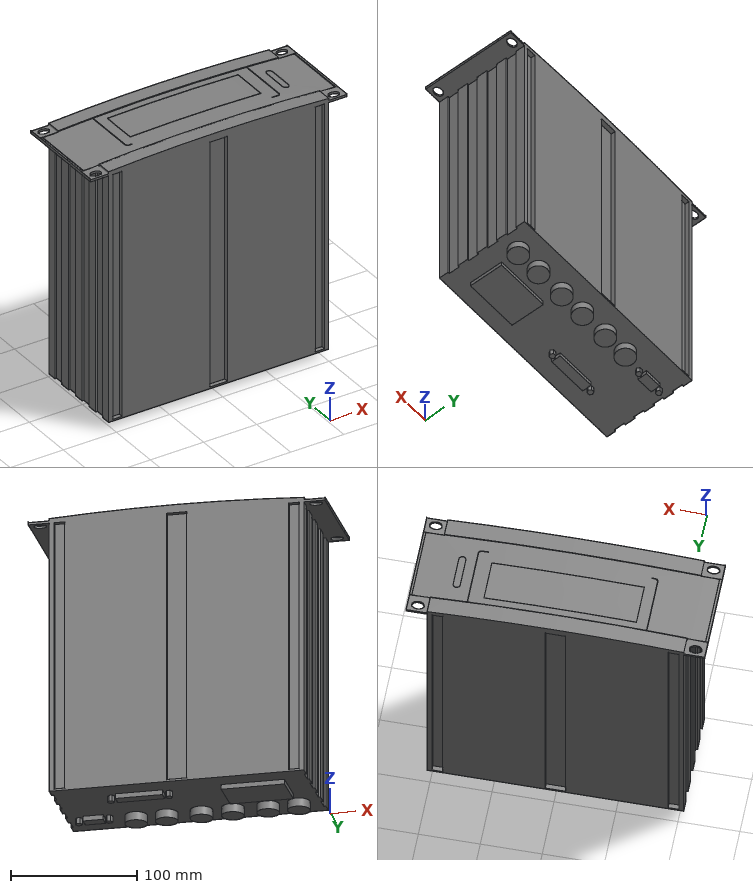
import cadquery as cq
import math

BODY_WIDTH = 207.0
BODY_DEPTH = 88.0
BODY_HEIGHT = 229.0

GROOVE_COUNT = 4
GROOVE_WIDTH = 10.0
GROOVE_PITCH = 20.0
GROOVE_RECESS = 1.6

END_PLATE = 1.7
CHANNEL_DEPTH = 4.0
CHANNELS = [(-95.25, 8.7), (0.0, 16.5), (95.25, 8.7)]

PANEL_WIDTH = 241.0
PANEL_CROWN = 7.0
PANEL_END = 2.8
CROWN_RISE = PANEL_CROWN - PANEL_END
CROWN_RADIUS = ((PANEL_WIDTH / 2) ** 2 + CROWN_RISE**2) / (2 * CROWN_RISE)
CROWN_CENTRE = PANEL_CROWN - CROWN_RADIUS

FIELD_WIDTH = 237.0
FIELD_DEPTH = 60.0
FIELD_SINK = 0.8
MARK_SINK = 0.3
WINDOW_WIDTH = 123.0
WINDOW_DEPTH = 33.5
WINDOW_Y = 6.8
SLOT_LENGTH = 29.3
SLOT_WIDTH = 5.7
SLOT_X = 85.2
SLOT_Y = 2.6
SCORE_LEFT = -70.9
SCORE_RIGHT = 73.8
SCORE_FRONT = -19.6
SCORE_TURN_END = 66.0
SCORE_RADIUS = 2.5
SCORE_WIDTH = 0.3

PAD_INNER_X = 103.6
PAD_INNER_Y = FIELD_DEPTH / 2
PAD_HEIGHT = 2.0
PAD_FILLET = 0.75
HOLE_X = 112.0
HOLE_Y = 38.1
HOLE_LENGTH = 10.0
HOLE_WIDTH = 7.0

ROUND_DIAMETER = 18.0
ROUND_HEIGHT = 7.0
ROUND_Y = 21.8
ROUND_XS = [-47.6, -22.8, 5.5, 31.0, 59.7, 84.6]
SHELL_DEPTH = 8.9
SHELL_HEIGHT = 4.0
HEX_FLATS = 4.8
HEX_HEIGHT = 5.0
D_CONNECTORS = [(-80.9, 18.2, 16.4, 24.7), (-34.4, -22.9, 38.3, 47.0)]
BLOCK_WIDTH = 51.4
BLOCK_DEPTH = 32.2
BLOCK_X = 58.4
BLOCK_Y = -12.0


def box(width, depth, height, x, y, base):
    """Box centred on (x, y) whose underside is at Z = base."""
    return cq.Workplane("XY", origin=(x, y, base)).rect(width, depth).extrude(height)


def crown_height(x):
    """Height of the crown surface at x."""
    return CROWN_CENTRE + math.sqrt(CROWN_RADIUS**2 - x**2)


def crowned_slab():
    """Panel blank on Z = 0, its top made of two arcs meeting at X = 0."""
    half = PANEL_WIDTH / 2
    quarter_height = crown_height(half / 2)
    profile = (
        cq.Workplane("XZ", origin=(0, BODY_DEPTH / 2, 0))
        .moveTo(-half, 0)
        .lineTo(-half, PANEL_END)
        .threePointArc((-half / 2, quarter_height), (0, PANEL_CROWN))
        .threePointArc((half / 2, quarter_height), (half, PANEL_END))
        .lineTo(half, 0)
        .close()
    )
    return profile.extrude(BODY_DEPTH, clean=False)


def crowned_core(sink):
    """Everything under one continuous crown surface lowered by sink."""
    cylinder = cq.Workplane("XZ", origin=(0, BODY_DEPTH, CROWN_CENTRE)).circle(CROWN_RADIUS - sink)
    return cylinder.extrude(2 * BODY_DEPTH)


def make_body():
    body = box(BODY_WIDTH, BODY_DEPTH, BODY_HEIGHT, 0, 0, -BODY_HEIGHT)
    for index in range(GROOVE_COUNT):
        y = (index - (GROOVE_COUNT - 1) / 2) * GROOVE_PITCH
        for side in (-1, 1):
            x = side * BODY_WIDTH / 2
            body = body.cut(box(2 * GROOVE_RECESS, GROOVE_WIDTH, BODY_HEIGHT, x, y, -BODY_HEIGHT))
    for x, width in CHANNELS:
        for side in (-1, 1):
            y = side * BODY_DEPTH / 2
            body = body.cut(
                box(width, 2 * CHANNEL_DEPTH, BODY_HEIGHT - END_PLATE, x, y, END_PLATE - BODY_HEIGHT)
            )
    return body


def score_line(x, end_x):
    """L-shaped strip running from the rear edge of the field and turning in at the front."""
    turn = math.copysign(1, end_x - x)
    front = SCORE_FRONT
    diagonal = SCORE_RADIUS * (1 - math.sqrt(0.5))
    path = (
        cq.Workplane("XY")
        .moveTo(x, FIELD_DEPTH / 2)
        .lineTo(x, front + SCORE_RADIUS)
        .threePointArc((x + turn * diagonal, front + diagonal), (x + turn * SCORE_RADIUS, front))
        .lineTo(end_x, front)
    )
    start = cq.Plane(origin=(x, FIELD_DEPTH / 2, PANEL_CROWN / 2), xDir=(1, 0, 0), normal=(0, -1, 0))
    return cq.Workplane(start).rect(SCORE_WIDTH, PANEL_CROWN).sweep(path)


def field_marks():
    """Display window, indicator slot and the two score lines, as full-height prisms."""
    window = box(WINDOW_WIDTH, WINDOW_DEPTH, PANEL_CROWN, 0, WINDOW_Y, 0)
    slot = (
        cq.Workplane("XY")
        .center(SLOT_X, SLOT_Y)
        .slot2D(SLOT_LENGTH, SLOT_WIDTH, 90)
        .extrude(PANEL_CROWN)
    )
    left = score_line(SCORE_LEFT, -SCORE_TURN_END)
    right = score_line(SCORE_RIGHT, SCORE_TURN_END)
    return [window, slot, left, right]


def pad_cutter(side_x, side_y):
    """Space above one corner pad, its floor rounded up to the two X walls and the inner Y wall."""
    length_x = PANEL_WIDTH / 2 - PAD_INNER_X
    length_y = BODY_DEPTH / 2 - PAD_INNER_Y
    x = side_x * (PAD_INNER_X + length_x / 2)
    y = side_y * (PAD_INNER_Y + length_y / 2)
    space = box(length_x, length_y, PANEL_CROWN, x, y, PAD_HEIGHT)
    open_side = ">Y" if side_y > 0 else "<Y"
    return space.faces("<Z").edges(f"not {open_side}").fillet(PAD_FILLET)


def make_panel():
    panel = crowned_slab()
    field = box(FIELD_WIDTH, FIELD_DEPTH, PANEL_CROWN, 0, 0, 0)
    panel = panel.cut(field.cut(crowned_core(FIELD_SINK)), clean=False)
    mark_floor = crowned_core(FIELD_SINK + MARK_SINK)
    for mark in field_marks():
        panel = panel.cut(mark.cut(mark_floor), clean=False)
    for side_x in (-1, 1):
        for side_y in (-1, 1):
            panel = panel.cut(pad_cutter(side_x, side_y), clean=False)
    holes = (
        cq.Workplane("XY")
        .rect(2 * HOLE_X, 2 * HOLE_Y, forConstruction=True)
        .vertices()
        .ellipse(HOLE_LENGTH / 2, HOLE_WIDTH / 2)
        .extrude(PANEL_CROWN)
    )
    return panel.cut(holes, clean=False)


def make_connectors():
    underside = cq.Workplane("XY", origin=(0, 0, -BODY_HEIGHT))
    rounds = underside.pushPoints([(x, ROUND_Y) for x in ROUND_XS])
    parts = [rounds.circle(ROUND_DIAMETER / 2).extrude(-ROUND_HEIGHT)]
    hex_corners = HEX_FLATS / math.cos(math.pi / 6)
    for x, y, shell_width, spacing in D_CONNECTORS:
        parts.append(box(shell_width, SHELL_DEPTH, SHELL_HEIGHT, x, y, -BODY_HEIGHT - SHELL_HEIGHT))
        posts = underside.pushPoints([(x - spacing / 2, y), (x + spacing / 2, y)])
        parts.append(posts.polygon(6, hex_corners).extrude(-HEX_HEIGHT))
    parts.append(box(BLOCK_WIDTH, BLOCK_DEPTH, SHELL_HEIGHT, BLOCK_X, BLOCK_Y, -BODY_HEIGHT - SHELL_HEIGHT))
    return parts


result = make_body().union(make_panel(), clean=False)
for connector in make_connectors():
    result = result.union(connector, clean=False)